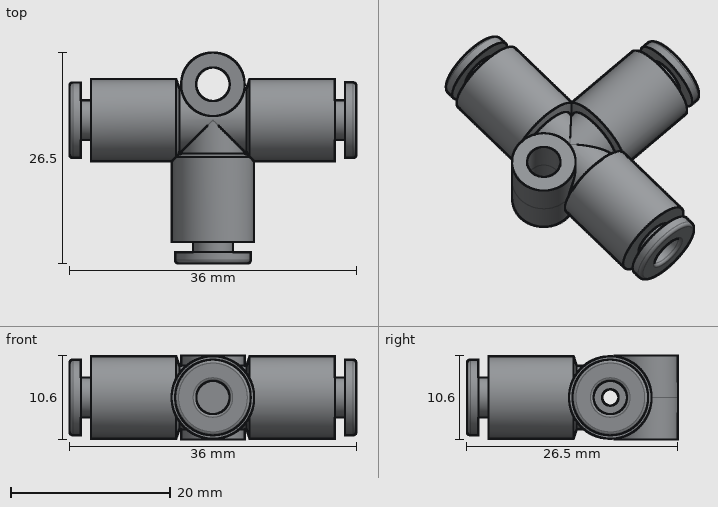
import cadquery as cq

arm_reach = 18.0
overlap = 0.35

flange_inner = arm_reach - 1.45
sleeve_end = 15.3
sleeve_start = 4.6
taper_start = sleeve_start - 0.4

core_radius = 4.0
sleeve_radius = 5.2
neck_radius = 2.52
flange_radius = 4.75
flange_rounding = 0.45

socket_radius = 2.1
socket_rounding = 0.4
socket_floor = sleeve_start
passage_radius = 1.0

lug_radius = 4.0
lug_height = 10.6
lug_hole_radius = 2.1
lug_center_y = 4.5


def make_arm():
    """Solid arm along +X: core, tapered sleeve, neck and rounded flange."""
    return (
        cq.Workplane("XY")
        .moveTo(0, 0)
        .lineTo(0, core_radius)
        .lineTo(taper_start, core_radius)
        .lineTo(sleeve_start, sleeve_radius)
        .lineTo(sleeve_end, sleeve_radius)
        .lineTo(sleeve_end, neck_radius)
        .lineTo(flange_inner, neck_radius)
        .lineTo(flange_inner, flange_radius)
        .lineTo(arm_reach - flange_rounding, flange_radius)
        .radiusArc((arm_reach, flange_radius - flange_rounding), flange_rounding)
        .lineTo(arm_reach, 0)
        .close()
        .revolve(360, (0, 0, 0), (1, 0, 0))
    )


def make_socket():
    """Cutter along +X for a blind tube socket with a rounded mouth."""
    return (
        cq.Workplane("XY")
        .moveTo(socket_floor, 0)
        .lineTo(socket_floor, socket_radius)
        .lineTo(arm_reach - socket_rounding, socket_radius)
        .radiusArc((arm_reach, socket_radius + socket_rounding), -socket_rounding)
        .lineTo(arm_reach + overlap, socket_radius + socket_rounding)
        .lineTo(arm_reach + overlap, 0)
        .close()
        .revolve(360, (0, 0, 0), (1, 0, 0))
    )


def lug_cylinder(radius, height):
    """Upright cylinder on the lug axis, centred in height."""
    return cq.Workplane("XY").center(0, lug_center_y).circle(radius).extrude(height / 2, both=True)


arm_angles = (0, 180, -90)
result = make_arm()
for angle in arm_angles[1:]:
    result = result.union(make_arm().rotate((0, 0, 0), (0, 0, 1), angle))

result = result.union(lug_cylinder(lug_radius, lug_height))

for angle in arm_angles:
    result = result.cut(make_socket().rotate((0, 0, 0), (0, 0, 1), angle))

passage = cq.Workplane("YZ").circle(passage_radius).extrude(socket_floor + overlap, both=True)
result = result.cut(passage)

result = result.cut(lug_cylinder(lug_hole_radius, lug_height + 2 * overlap))